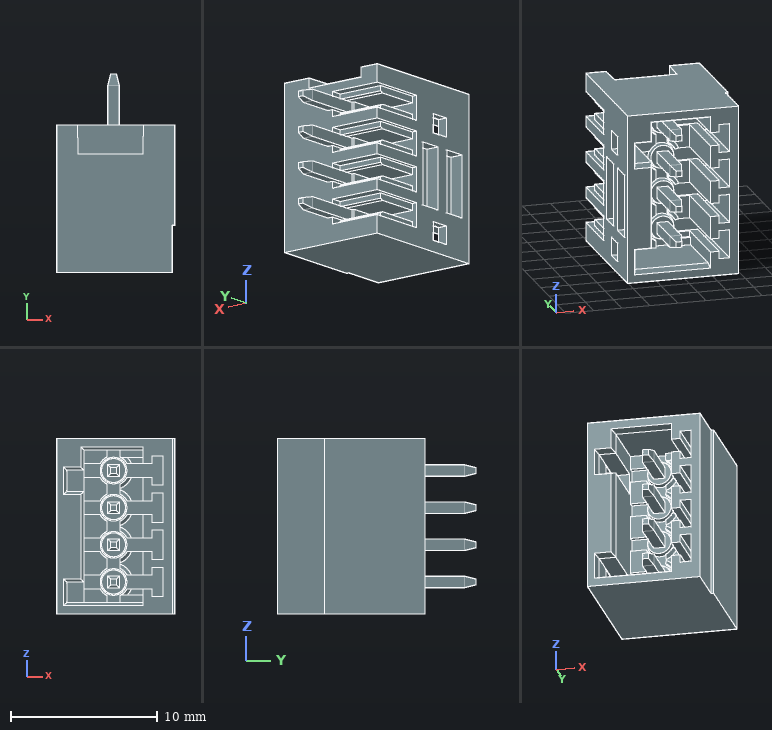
import cadquery as cq


width = 8.1
body_depth = 10.1
height = 12.02
step_inset = 0.18
step_depth = 3.24

pin_count = 4
pitch = 2.54
pin_x = 3.9
pin_size = 0.8
pin_front_y = 0.8
pin_rear_y = 13.6
pin_tip_length = 0.8
pin_tip_size = 0.4

cavity_left = 1.66
cavity_right = 5.9
cavity_bottom = 0.58
cavity_top = height - cavity_bottom
keyway_left = 0.49
upper_keyway_bottom = 8.18
upper_keyway_top = 10.05
lower_keyway_top = 2.4
flare = 0.21
flare_depth = 0.55
floor_y = 4.8
keyway_floor_y = 4.6

groove_y = 5.2
groove_width = 0.94
spine_groove_width = 0.89
head_left = 6.53
head_right = 7.27
head_height = 2.0

pocket_y = 5.0
pocket_bottom = 1.32
pocket_top = height - pocket_bottom
collar_base_radius = 1.3

well_radius = 1.03
boss_base_radius = 0.91
boss_top_radius = 0.82

slot_height = 1.77
slot_length = 4.32
gap_height = pin_size
ledge_x = 0.36
ledge_setback = 0.84
ledge_chamfer_y = 0.2
ledge_chamfer_z = 0.12
tail_bed_x = 3.3
tail_bed_setback = 1.615
slot_fillet = 0.86

recess_left = 1.43
recess_right = 5.95
recess_taper = 0.05
recess_length = 1.98
recess_depth = 0.72

tall_window_depth = 0.97
tall_window_width = 1.67
tall_window_starts = (0.78, 3.42)
tall_window_bottom = 3.08
tall_window_top = 7.55
small_window_front = 2.5
small_window_rear = 3.92
small_window_spans = ((0.83, 2.14), (8.45, 9.8))

first_pin_z = height / 2 - pitch * (pin_count - 1) / 2
pin_levels = [first_pin_z + pitch * i for i in range(pin_count)]


def box(x0, x1, y0, y1, z0, z1):
    """Box given by its limits along each axis."""
    return cq.Workplane("XY").box(x1 - x0, y1 - y0, z1 - z0, centered=False).translate((x0, y0, z0))


def section_at(y):
    """Sketch plane at the given Y, with local coordinates (X, Z) and its normal toward -Y."""
    return cq.Workplane(cq.Plane(origin=(0, y, 0), xDir=(1, 0, 0), normal=(0, -1, 0)))


def frustum(z, y0, y1, radius0, radius1):
    """Cone frustum about a pin, with radius0 at y0 and radius1 at y1."""
    solid = cq.Solid.makeCone(radius0, radius1, y1 - y0, cq.Vector(pin_x, y0, z), cq.Vector(0, 1, 0))
    return cq.Workplane(obj=solid)


def housing_block():
    front = box(0, width - step_inset, 0, step_depth, 0, height)
    return front.union(box(0, width, step_depth, body_depth, 0, height))


def cavity_outline(inset):
    """Cavity section with its two keyways; the +X wall stays put as the rest is inset."""
    left = cavity_left + inset
    keyway = keyway_left + inset
    bottom = cavity_bottom + inset
    top = cavity_top - inset
    return [
        (cavity_right, bottom),
        (cavity_right, top),
        (left, top),
        (left, upper_keyway_top - inset),
        (keyway, upper_keyway_top - inset),
        (keyway, upper_keyway_bottom + inset),
        (left, upper_keyway_bottom + inset),
        (left, lower_keyway_top - inset),
        (keyway, lower_keyway_top - inset),
        (keyway, bottom),
    ]


def cavity():
    """Straight cavity with a flared mouth; the keyways end slightly short of the main floor."""
    straight = section_at(0).polyline(cavity_outline(flare)).close().extrude(-keyway_floor_y)
    deep_end = box(
        cavity_left + flare, cavity_right, keyway_floor_y, floor_y, cavity_bottom + flare, cavity_top - flare
    )
    mouth = (
        section_at(0)
        .polyline(cavity_outline(0))
        .close()
        .workplane(offset=-flare_depth)
        .polyline(cavity_outline(flare))
        .close()
        .loft(ruled=True)
    )
    return straight.union(deep_end).union(mouth)


def floor_pocket():
    """Lowered floor area, leaving a conical collar around each well."""
    left = pin_x + spine_groove_width / 2
    pocket = box(left, cavity_right, floor_y, pocket_y, pocket_bottom, pocket_top)
    for z in pin_levels:
        pocket = pocket.cut(frustum(z, floor_y, pocket_y, well_radius, collar_base_radius))
    return pocket


def floor_grooves():
    """Vertical spine groove, a cross groove with a T-slot per pin, and the round wells."""
    half_spine = spine_groove_width / 2
    grooves = box(
        pin_x - half_spine, pin_x + half_spine, floor_y, groove_y, cavity_bottom + flare, cavity_top - flare
    )
    half_groove = groove_width / 2
    half_head = head_height / 2
    for z in pin_levels:
        cross = box(cavity_left + flare, cavity_right, floor_y, groove_y, z - half_groove, z + half_groove)
        neck = box(cavity_right, head_right, 0, groove_y, z - half_groove, z + half_groove)
        head = box(head_left, head_right, 0, groove_y, z - half_head, z + half_head)
        well = section_at(floor_y).center(pin_x, z).circle(well_radius).extrude(floor_y - groove_y)
        grooves = grooves.union(cross).union(neck).union(head).union(well)
    return grooves


def tail_slot(z):
    """Slot in the -X side: wide at its mouth and rear end, narrowed to a gap between two ledges."""
    front = body_depth - slot_length
    ledge_rear = body_depth - ledge_setback
    bed_rear = body_depth - tail_bed_setback
    half_slot = slot_height / 2
    half_gap = gap_height / 2

    mouth = box(0, ledge_x, front, body_depth, z - half_slot, z + half_slot)
    rear = box(0, pin_x, ledge_rear, body_depth, z - half_slot, z + half_slot)
    gap = box(0, tail_bed_x, front, bed_rear, z - half_gap, z + half_gap)
    gap = gap.edges("|Z and >X and <Y").fillet(slot_fillet)
    open_gap = box(0, pin_x, bed_rear, body_depth, z - half_gap, z + half_gap)
    lead_in = (
        cq.Workplane("YZ")
        .polyline([
            (ledge_rear, z - half_gap - ledge_chamfer_z),
            (ledge_rear, z + half_gap + ledge_chamfer_z),
            (ledge_rear - ledge_chamfer_y, z + half_gap),
            (ledge_rear - ledge_chamfer_y, z - half_gap),
        ])
        .close()
        .extrude(pin_x)
    )
    return mouth.union(rear).union(gap).union(open_gap).union(lead_in)


def top_recess():
    """Recess in the top face, open to the rear and slightly wider there."""
    front = body_depth - recess_length
    return (
        cq.Workplane("XY", origin=(0, 0, height - recess_depth))
        .polyline([
            (recess_left, body_depth),
            (recess_left + recess_taper, front),
            (recess_right - recess_taper, front),
            (recess_right, body_depth),
        ])
        .close()
        .extrude(recess_depth)
    )


def side_windows():
    """Two blind tall windows, and two small ones that break into the keyways."""
    small_depth = keyway_left + flare
    windows = cq.Workplane()
    for y in tall_window_starts:
        tall = box(0, tall_window_depth, y, y + tall_window_width, tall_window_bottom, tall_window_top)
        windows = windows.add(tall)
    for bottom, top in small_window_spans:
        small = box(0, small_depth, small_window_front, small_window_rear, bottom, top)
        windows = windows.add(small)
    return windows.combine()


def pin_tip(z, base_y, tip_y):
    return (
        section_at(base_y)
        .center(pin_x, z)
        .rect(pin_size, pin_size)
        .workplane(offset=base_y - tip_y)
        .rect(pin_tip_size, pin_tip_size)
        .loft(ruled=True)
    )


def pin(z):
    """Straight rectangular pin tapered at both ends."""
    front = pin_front_y + pin_tip_length
    rear = pin_rear_y - pin_tip_length
    half = pin_size / 2
    shank = box(pin_x - half, pin_x + half, front, rear, z - half, z + half)
    return shank.union(pin_tip(z, front, pin_front_y)).union(pin_tip(z, rear, pin_rear_y))


result = housing_block().cut(cavity()).cut(floor_pocket()).cut(floor_grooves())
result = result.cut(top_recess()).cut(side_windows())
for level in pin_levels:
    result = result.cut(tail_slot(level))
for level in pin_levels:
    boss = frustum(level, floor_y, groove_y, boss_top_radius, boss_base_radius)
    result = result.union(boss).union(pin(level))